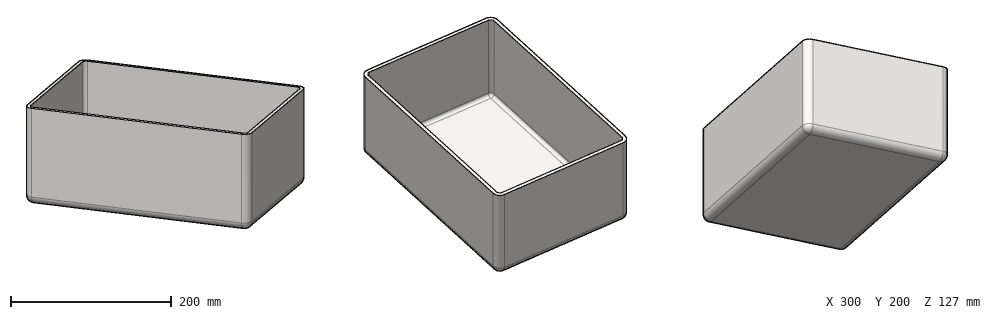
import cadquery as cq

length = 300.0
width = length * 2 / 3
height = 127.0

wall = length / 60
outer_radius = 2 * wall
inner_radius = outer_radius - wall


def rounded_block(size_x, size_y, size_z, radius):
    """Block standing on the XY plane with rounded upright and bottom edges."""
    block = cq.Workplane("XY").box(size_x, size_y, size_z, centered=(True, True, False))
    return block.edges("|Z").fillet(radius).faces("<Z").edges().fillet(radius)


outer = rounded_block(length, width, height, outer_radius)

cavity = rounded_block(length - 2 * wall, width - 2 * wall, height - wall, inner_radius)
cavity = cavity.translate((0, 0, wall))

result = outer.cut(cavity)